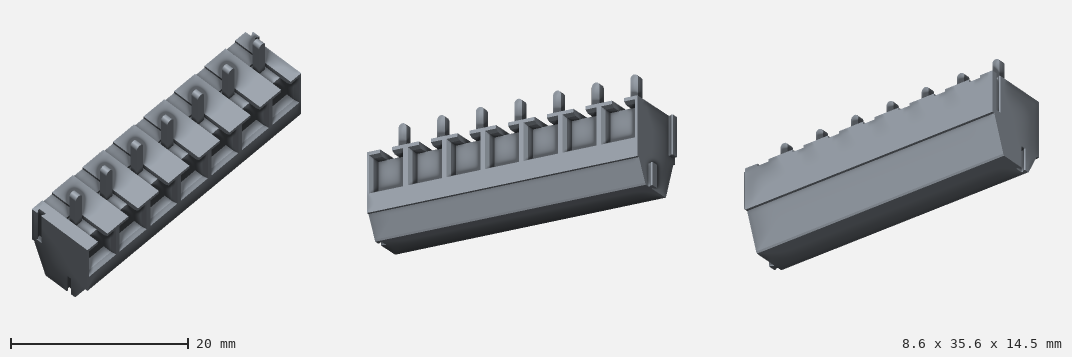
import cadquery as cq

pin_count = 7
pin_size = 1.0
pin_x = 4.4

housing_width = 8.6
housing_height = 10.18
overall_length = 35.6
dovetail_height = 0.6
housing_length = overall_length - dovetail_height
pitch = housing_length / pin_count
pin_top = 14.5
ledge = 0.35
left_ledge_z = 4.75
right_ledge_z = 2.8
bottom_left_x = 2.17
bottom_right_x = 6.7
bottom_bevel = 0.2
bottom_bevel_run = 0.15

slot_width = 1.55
slot_depth = 0.32
pin_pocket_depth = 0.68
pin_pocket_start_x = 3.52
pin_pocket_end_x = 6.95

entry_width = 3.85
entry_ceiling_z = housing_height - 0.7
entry_floor_z = 5.4
entry_lip_run = 0.55
entry_lip_flare = 0.3

dovetail_tip_width = 1.0
dovetail_tip_thickness = 0.18
dovetail_neck_width = 0.55
dovetail_neck_height = 0.1
dovetail_root_width = 0.75
upper_dovetail_x = 1.1
upper_dovetail_length = 4.85
lower_dovetail_x = 5.73
lower_dovetail_length = 2.8


def box(x_range, y_range, z_range):
    """Axis-aligned box between pairs of limits."""
    (x0, x1), (y0, y1), (z0, z1) = x_range, y_range, z_range
    return cq.Workplane("XY").box(x1 - x0, y1 - y0, z1 - z0, centered=False).translate((x0, y0, z0))


def make_housing():
    outline = [
        (0, housing_height),
        (housing_width, housing_height),
        (housing_width, right_ledge_z),
        (housing_width - ledge, right_ledge_z),
        (bottom_right_x + bottom_bevel_run, bottom_bevel),
        (bottom_right_x, 0),
        (bottom_left_x, 0),
        (bottom_left_x - bottom_bevel_run, bottom_bevel),
        (ledge, left_ledge_z),
        (0, left_ledge_z),
    ]
    return cq.Workplane("XZ").polyline(outline).close().extrude(-housing_length)


def make_slot(y):
    """Slot that deepens around the pin and opens into the wire entry."""
    sides = (y - slot_width / 2, y + slot_width / 2)
    shallow_floor_z = housing_height - slot_depth
    pocket_floor_z = housing_height - pin_pocket_depth
    shallow = box((0, housing_width), sides, (shallow_floor_z, housing_height))
    pocket = box((pin_pocket_start_x, housing_width), sides, (pocket_floor_z, housing_height))
    drop = box((pin_pocket_end_x, housing_width), sides, (entry_floor_z, housing_height))
    return shallow.union(pocket).union(drop)


def make_wire_entry(y):
    """Rectangular opening in the +X side with a flared mouth."""
    height = entry_ceiling_z - entry_floor_z
    center = (housing_width, y, entry_floor_z + height / 2)
    sides = (y - entry_width / 2, y + entry_width / 2)
    chamber = box((pin_pocket_end_x, housing_width), sides, (entry_floor_z, entry_ceiling_z))
    mouth = (
        cq.Workplane("YZ", origin=center)
        .rect(entry_width + 2 * entry_lip_flare, height + 2 * entry_lip_flare)
        .workplane(offset=-entry_lip_run)
        .rect(entry_width, height)
        .loft(ruled=True)
    )
    return chamber.union(mouth)


def make_pin(y):
    """Square pin with a rounded tip, standing on the pocket floor."""
    half = pin_size / 2
    base_z = housing_height - pin_pocket_depth
    shoulder_z = pin_top - half
    return (
        cq.Workplane("YZ", origin=(pin_x - half, 0, 0))
        .moveTo(y - half, base_z)
        .lineTo(y - half, shoulder_z)
        .threePointArc((y, pin_top), (y + half, shoulder_z))
        .lineTo(y + half, base_z)
        .close()
        .extrude(pin_size)
    )


def make_dovetail(x, y, z, length):
    """Upright dovetail bar rooted at y and widening toward +Y."""
    right_half = [
        (dovetail_root_width / 2, 0),
        (dovetail_neck_width / 2, dovetail_neck_height),
        (dovetail_tip_width / 2, dovetail_height - dovetail_tip_thickness),
        (dovetail_tip_width / 2, dovetail_height),
    ]
    left_half = [(-dx, dy) for dx, dy in reversed(right_half)]
    profile = cq.Workplane("XY", origin=(x, y, z)).polyline(right_half + left_half)
    return profile.close().extrude(length)


def make_dovetail_pair(y):
    upper_z = housing_height - upper_dovetail_length
    upper = make_dovetail(upper_dovetail_x, y, upper_z, upper_dovetail_length)
    lower = make_dovetail(lower_dovetail_x, y, 0, lower_dovetail_length)
    return upper.union(lower)


result = make_housing().cut(make_dovetail_pair(0)).union(make_dovetail_pair(housing_length))
for index in range(pin_count):
    pin_y = (index + 0.5) * pitch
    result = result.cut(make_slot(pin_y)).cut(make_wire_entry(pin_y)).union(make_pin(pin_y))